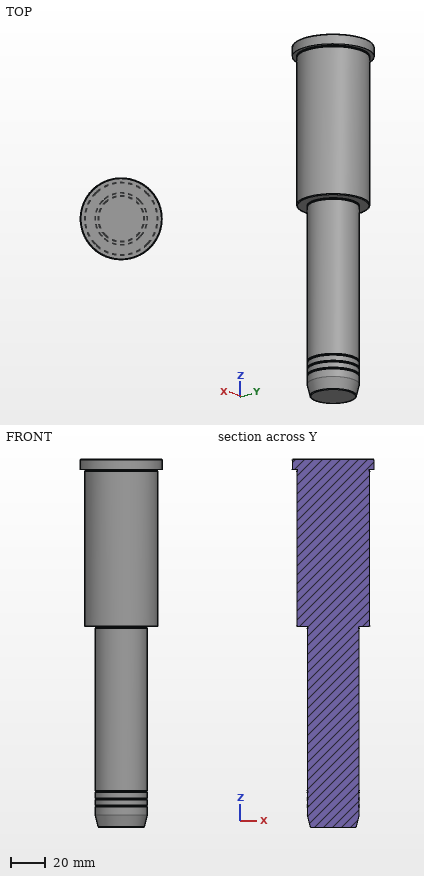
import math

import cadquery as cq

shaft_length = 115.0
body_length = 90.0
head_thickness = 6.0

shaft_radius = 30.0 / 2
body_radius = 42.0 / 2
head_radius = 47.0 / 2

head_chamfer = 0.5
body_chamfer = 0.5
tip_chamfer = 0.5

relief_width = 1.0
relief_depth = 0.3

lead_in_height = 7.2
lead_in_angle = math.radians(14)

groove_count = 3
groove_width = 1.1
groove_depth = 0.25
groove_pitch = 4.15
lowest_groove_height = 12.3

body_bottom = shaft_length
body_top = body_bottom + body_length
overall_length = body_top + head_thickness


def add_groove(profile, radius, lower_edge, width, depth):
    """Continue the profile upward through a groove with 45 degree flanks."""
    return (
        profile.lineTo(radius, lower_edge)
        .lineTo(radius - depth, lower_edge + depth)
        .lineTo(radius - depth, lower_edge + width - depth)
        .lineTo(radius, lower_edge + width)
    )


def make_pillar():
    """Revolve the stepped half profile (radius along X, height along Z) about Z."""
    taper = math.tan(lead_in_angle)
    tip_radius = shaft_radius - (lead_in_height - tip_chamfer) * taper
    profile = (
        cq.Workplane("XZ")
        .lineTo(tip_radius - tip_chamfer, 0)
        .lineTo(tip_radius, tip_chamfer)
        .lineTo(shaft_radius, lead_in_height)
    )
    for index in range(groove_count):
        lower_edge = lowest_groove_height + index * groove_pitch - groove_width / 2
        profile = add_groove(profile, shaft_radius, lower_edge, groove_width, groove_depth)
    profile = add_groove(
        profile, shaft_radius, body_bottom - relief_width, relief_width, relief_depth
    )
    profile = (
        profile.lineTo(body_radius - body_chamfer, body_bottom)
        .lineTo(body_radius, body_bottom + body_chamfer)
    )
    profile = add_groove(
        profile, body_radius, body_top - relief_width, relief_width, relief_depth
    )
    profile = (
        profile.lineTo(head_radius, body_top)
        .lineTo(head_radius, overall_length - head_chamfer)
        .lineTo(head_radius - head_chamfer, overall_length)
        .lineTo(0, overall_length)
        .close()
    )
    return profile.revolve(360, (0, 0, 0), (0, 1, 0))


result = make_pillar()